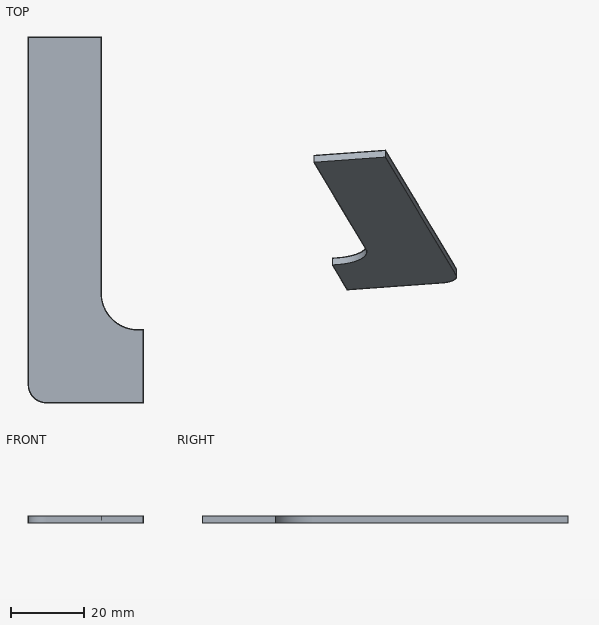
import cadquery as cq

plate_length = 100.0
foot_length = 31.5
strip_width = 20.0
thickness = 2.0
outer_corner_radius = 5.0
inner_corner_radius = 10.0


def make_blank():
    """Sharp-cornered L plate with its outer corner at the origin."""
    arm = cq.Workplane("XY").box(strip_width, plate_length, thickness, centered=False)
    foot = cq.Workplane("XY").box(foot_length, strip_width, thickness, centered=False)
    return arm.union(foot, clean=True)


def round_corner(plate, x, y, radius):
    """Fillet the vertical edge standing at (x, y)."""
    edge_middle = (x, y, thickness / 2)
    corner_edge = cq.selectors.NearestToPointSelector(edge_middle)
    return plate.edges("|Z").edges(corner_edge).fillet(radius)


result = make_blank()
result = round_corner(result, 0, 0, outer_corner_radius)
result = round_corner(result, strip_width, strip_width, inner_corner_radius)